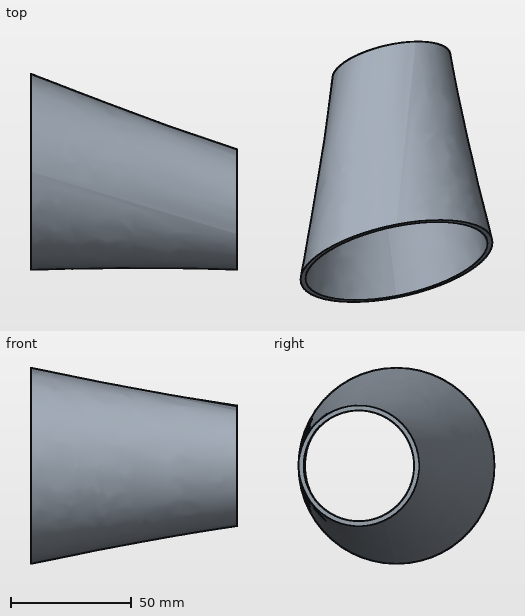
import cadquery as cq
import math

length = 85.2
large_diameter = 81.1
small_diameter = 49.9
wall = 2.1
twist = 24.0

small_center_y = -(large_diameter - small_diameter) / 2


def half_circle(x, center_y, radius, start_angle):
    """Half circle in a plane across X; angles run from +Z towards -Y."""

    def point(angle):
        turn = math.radians(angle)
        return cq.Vector(x, center_y - radius * math.sin(turn), radius * math.cos(turn))

    return cq.Edge.makeThreePointArc(
        point(start_angle), point(start_angle + 90), point(start_angle + 180)
    )


def twisted_cone(inset):
    """Solid ruled between the two end circles, each reduced by the inset."""
    large_radius = large_diameter / 2 - inset
    small_radius = small_diameter / 2 - inset
    large_arcs = []
    small_arcs = []
    for seam_angle in (0, 180):
        large_arcs.append(half_circle(0, 0, large_radius, seam_angle))
        small_arcs.append(half_circle(length, small_center_y, small_radius, seam_angle + twist))

    faces = [cq.Face.makeRuledSurface(a, b) for a, b in zip(large_arcs, small_arcs)]
    for arcs in (large_arcs, small_arcs):
        faces.append(cq.Face.makeFromWires(cq.Wire.assembleEdges(arcs)))
    return cq.Workplane(cq.Solid.makeSolid(cq.Shell.makeShell(faces)).fix())


result = twisted_cone(0).cut(twisted_cone(wall))